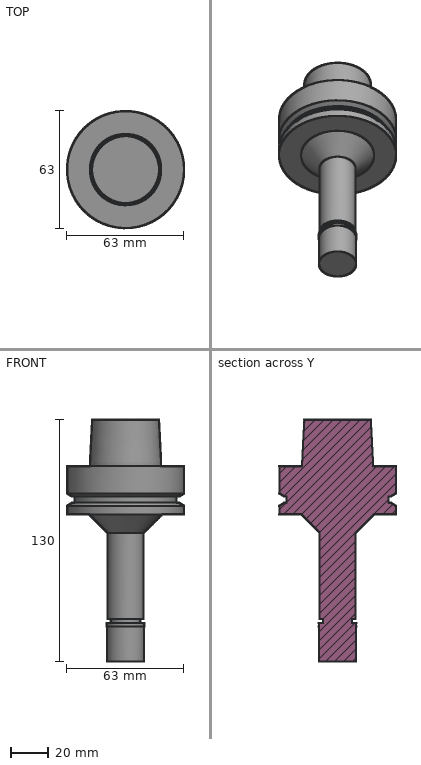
import cadquery as cq

TIP_DIAMETER = 20.0
COLLAR_DIAMETER = 20.3
NECK_DIAMETER = 16.0
SHANK_DIAMETER = 19.5
FLANGE_DIAMETER = 63.0
GROOVE_DIAMETER = 55.0
GROOVE_SHOULDER_DIAMETER = 57.5
TAPER_BASE_DIAMETER = 38.4
TAPER_TOP_DIAMETER = 36.0

TOTAL_HEIGHT = 130.0
TIP_HEIGHT = 18.8
COLLAR_HEIGHT = 2.0
NECK_HEIGHT = 2.0
CONE_HEIGHT = 9.9
FLANGE_HEIGHT = 26.0
TAPER_HEIGHT = 22.9
PILOT_HEIGHT = 2.1

LOWER_RIM_HEIGHT = 4.7
GROOVE_FLOOR_HEIGHT = 3.2
GROOVE_SIDE_HEIGHT = 1.7

CONE_BASE_DIAMETER = SHANK_DIAMETER + 2 * CONE_HEIGHT

flange_top = TOTAL_HEIGHT - TAPER_HEIGHT - PILOT_HEIGHT
flange_bottom = flange_top - FLANGE_HEIGHT
groove_bottom = flange_bottom + LOWER_RIM_HEIGHT
groove_floor_bottom = groove_bottom + GROOVE_SIDE_HEIGHT
groove_floor_top = groove_floor_bottom + GROOVE_FLOOR_HEIGHT
groove_top = groove_floor_top + GROOVE_SIDE_HEIGHT
collar_top = TIP_HEIGHT + COLLAR_HEIGHT
neck_top = collar_top + NECK_HEIGHT


def frustum(bottom, top, bottom_diameter, top_diameter):
    """Round section on the Z axis between two heights."""
    return (
        cq.Workplane("XZ")
        .moveTo(0, bottom)
        .lineTo(bottom_diameter / 2, bottom)
        .lineTo(top_diameter / 2, top)
        .lineTo(0, top)
        .close()
        .revolve(360, (0, 0), (0, 1))
    )


def cylinder(bottom, top, diameter):
    return frustum(bottom, top, diameter, diameter)


def make_shank():
    """Tip, collar, relief neck, long shank and the cone that meets the flange."""
    shank_top = flange_bottom - CONE_HEIGHT
    return (
        cylinder(0, TIP_HEIGHT, TIP_DIAMETER)
        .union(cylinder(TIP_HEIGHT, collar_top, COLLAR_DIAMETER))
        .union(cylinder(collar_top, neck_top, NECK_DIAMETER))
        .union(cylinder(neck_top, shank_top, SHANK_DIAMETER))
        .union(frustum(shank_top, flange_bottom, SHANK_DIAMETER, CONE_BASE_DIAMETER))
    )


def make_flange():
    """Flange disc with a chamfered groove that steps down to a narrower floor."""
    return (
        cylinder(flange_bottom, groove_bottom, FLANGE_DIAMETER)
        .union(frustum(groove_bottom, groove_floor_bottom, FLANGE_DIAMETER, GROOVE_SHOULDER_DIAMETER))
        .union(cylinder(groove_floor_bottom, groove_floor_top, GROOVE_DIAMETER))
        .union(frustum(groove_floor_top, groove_top, GROOVE_SHOULDER_DIAMETER, FLANGE_DIAMETER))
        .union(cylinder(groove_top, flange_top, FLANGE_DIAMETER))
    )


def make_taper():
    """Short cylindrical pilot with the tapered plug above it."""
    pilot_top = flange_top + PILOT_HEIGHT
    return (
        cylinder(flange_top, pilot_top, TAPER_BASE_DIAMETER)
        .union(frustum(pilot_top, TOTAL_HEIGHT, TAPER_BASE_DIAMETER, TAPER_TOP_DIAMETER))
    )


result = make_shank().union(make_flange()).union(make_taper())